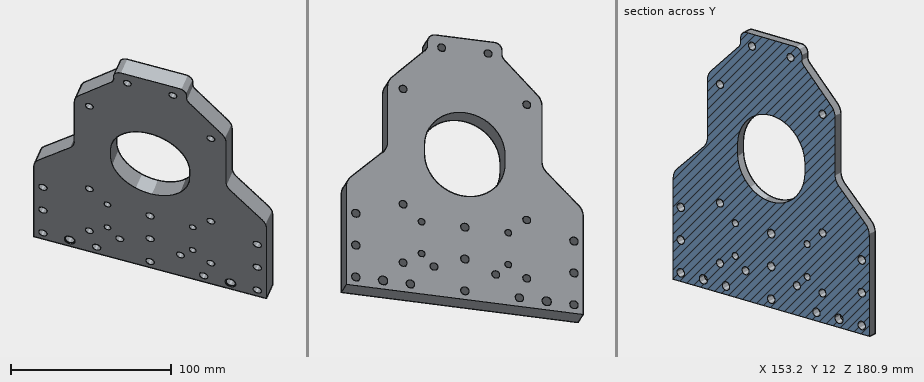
import cadquery as cq

thickness = 12.0
height = 180.9
base_half_width = 76.61
body_half_width = 50.0
tab_half_width = 24.0

base_side_top = 72.4
body_side_bottom = 98.2
body_side_top = 145.0
tab_side_bottom = 171.1

body_radius = 10.0
tab_radius = 5.0

opening_radius = 26.0
opening_straight = 5.8
opening_z = 100.5

mount_diameter = 5.5
frame_diameter = 5.0
pilot_diameter = 4.3
dowel_diameter = 6.0
dowel_chamfer = 0.5

mount_x = 70.5
mount_bottom_z = 6.0
mount_pitch_z = 22.0
mount_rows = [mount_bottom_z + row * mount_pitch_z for row in range(3)]
dowel_x = 0.75 * mount_x
pilot_x = 28.0

frame_offset = 40.0
frame_low_z = 20.0
tab_hole_x = 15.0
tab_hole_z = 172.5


def mirrored(x, z):
    """Return a point and its mirror image across x = 0."""
    return [(-x, z), (x, z)]


def round_corners(body, corners, radius):
    """Fillet the through-thickness edges at the given corners and their mirrors."""
    for x, z in corners:
        for px, pz in mirrored(x, z):
            corner = cq.selectors.NearestToPointSelector((px, thickness / 2, pz))
            body = body.edges(corner).fillet(radius)
    return body


def make_plate():
    right_side = [
        (base_half_width, 0),
        (base_half_width, base_side_top),
        (body_half_width, body_side_bottom),
        (body_half_width, body_side_top),
        (tab_half_width, tab_side_bottom),
        (tab_half_width, height),
    ]
    left_side = [(-x, z) for x, z in reversed(right_side)]
    plate = cq.Workplane("XZ").polyline(right_side + left_side).close().extrude(-thickness)
    plate = round_corners(plate, right_side[1:4], body_radius)
    return round_corners(plate, right_side[4:], tab_radius)


def make_opening():
    length = opening_straight + 2 * opening_radius
    return cq.Workplane("XZ").center(0, opening_z).slot2D(length, 2 * opening_radius, 90).extrude(-thickness)


def make_holes(points, diameter):
    return cq.Workplane("XZ").pushPoints(points).circle(diameter / 2).extrude(-thickness)


def make_dowel_chamfer(x, z):
    """Cone that breaks the front edge of one dowel hole."""
    hole_radius = dowel_diameter / 2
    front_center = cq.Vector(x, 0, z)
    into_plate = cq.Vector(0, 1, 0)
    return cq.Solid.makeCone(hole_radius + dowel_chamfer, hole_radius, dowel_chamfer, front_center, into_plate)


mount_points = mirrored(mount_x / 2, mount_bottom_z)
for z in mount_rows:
    mount_points += mirrored(mount_x, z) + [(0, z)]

pilot_points = []
for z in mount_rows[1:]:
    pilot_points += mirrored(pilot_x, z)

frame_points = mirrored(tab_hole_x, tab_hole_z)
for z in (opening_z - frame_offset, opening_z + frame_offset, frame_low_z):
    frame_points += mirrored(frame_offset, z)
frame_points += mirrored(frame_offset / 2, frame_low_z)

dowel_points = mirrored(dowel_x, mount_bottom_z)

result = make_plate().cut(make_opening())
result = result.cut(make_holes(mount_points, mount_diameter))
result = result.cut(make_holes(pilot_points, pilot_diameter))
result = result.cut(make_holes(frame_points, frame_diameter))
result = result.cut(make_holes(dowel_points, dowel_diameter))
for x, z in dowel_points:
    result = result.cut(cq.Workplane(make_dowel_chamfer(x, z)))